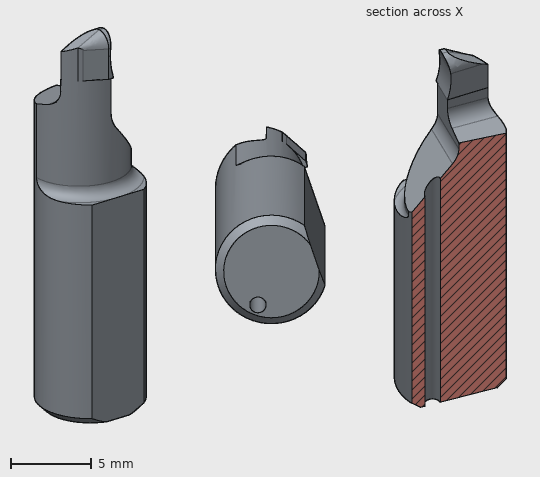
import cadquery as cq
import math

total_length = 26.0
shank_diameter = 7.0
shank_radius = shank_diameter / 2
flat_x = 6.35 - shank_radius
base_chamfer = 0.52

neck_x = -1.17
neck_radius = 3.28
shoulder_z = 15.03
shoulder_fillet = 0.78

face_y = 0.03
slope_top_y = 0.45
slope_top_z = 19.37
slope_angle = 49.0
face_blend_turn = math.radians(90 - slope_angle)

stem_left_x = 0.42
ledge_outer_z = 20.44
ledge_angle = 14.5
ledge_fall_angle = 2.5
ledge_fillet = 1.05
side_clearance_angle = 3.5

head_right_x = 2.37
head_bottom_z = 22.95
nose_radius = (head_right_x - stem_left_x) / 2
nose_x = stem_left_x + nose_radius
nose_z = total_length - nose_radius
land_depth = 0.36
heel_depth = 1.66
facet_start_y = -1.72
head_clearance_angle = 29.0
crest_relief_angle = 25.5

groove_depth_y = -0.2
groove_mid_z = 24.95

hole_x = -1.48
hole_y = 1.77
hole_diameter = 1.01

margin = 2.6


def neck_cylinder(bottom_z, top_z):
    return (
        cq.Workplane("XY", origin=(neck_x, 0, bottom_z))
        .circle(neck_radius)
        .extrude(top_z - bottom_z)
    )


def shoulder_ring():
    """Concave fillet between the neck and the shoulder."""
    outer_radius = neck_radius + shoulder_fillet
    top_z = shoulder_z + shoulder_fillet
    sag = shoulder_fillet * (1 - math.sqrt(0.5))
    return (
        cq.Workplane("XZ")
        .moveTo(0, shoulder_z)
        .lineTo(outer_radius, shoulder_z)
        .threePointArc((neck_radius + sag, shoulder_z + sag), (neck_radius, top_z))
        .lineTo(0, top_z)
        .close()
        .revolve(360, (0, 0, 0), (0, 1, 0))
        .translate((neck_x, 0, 0))
    )


def bar():
    """Shank and neck, all contained in the flatted round bar."""
    blank = cq.Workplane("XY").circle(shank_radius).extrude(total_length)
    blank = blank.faces("<Z").chamfer(base_chamfer)
    flat_cut = cq.Workplane("XY").box(
        margin, 2 * shank_diameter, 3 * total_length, centered=(False, True, True)
    ).translate((flat_x, 0, 0))
    blank = blank.cut(flat_cut)
    lower = cq.Workplane("XY").circle(2 * shank_radius).extrude(shoulder_z)
    envelope = lower.union(neck_cylinder(shoulder_z, head_bottom_z)).union(shoulder_ring())
    return blank.intersect(envelope)


def back_relief():
    """Upright cutting face blended into a slope that runs down towards +Y."""
    turn = face_blend_turn
    radius = (slope_top_y - face_y) / (1 - math.cos(turn))
    blend_top_z = slope_top_z + radius * math.sin(turn)
    mid_y = face_y + radius * (1 - math.cos(turn / 2))
    mid_z = blend_top_z - radius * math.sin(turn / 2)
    far_y = shank_radius + margin
    far_z = slope_top_z - (far_y - slope_top_y) * math.tan(math.radians(slope_angle))
    return (
        cq.Workplane("YZ")
        .moveTo(face_y, total_length + margin)
        .lineTo(face_y, blend_top_z)
        .threePointArc((mid_y, mid_z), (slope_top_y, slope_top_z))
        .lineTo(far_y, far_z)
        .lineTo(far_y, total_length + margin)
        .close()
        .extrude(shank_diameter, both=True)
    )


def ledge_cut():
    """Material removed on -X, leaving the stem and the sloping ledge."""
    rise = math.tan(math.radians(ledge_angle))
    outer_x = -shank_radius - margin
    corner_z = ledge_outer_z + (stem_left_x + shank_radius) * rise
    cutter = (
        cq.Workplane("XZ")
        .moveTo(outer_x, ledge_outer_z - margin * rise)
        .lineTo(stem_left_x, corner_z)
        .lineTo(stem_left_x, total_length + margin)
        .lineTo(outer_x, total_length + margin)
        .close()
        .extrude(2 * shank_diameter, both=True)
    )
    cutter = cutter.edges(cq.NearestToPointSelector((stem_left_x, 0, corner_z))).fillet(ledge_fillet)
    ledge_hinge = (-shank_radius, 0, ledge_outer_z)
    cutter = cutter.rotate(ledge_hinge, (stem_left_x, 0, ledge_outer_z), ledge_fall_angle)
    return cutter.rotate((stem_left_x, 0, 0), (stem_left_x, 0, 1), side_clearance_angle)


def head_half(plane, side_x, height):
    """Quarter-nose outline between the crest at nose_x and one side of the head."""
    diagonal = math.sqrt(0.5)
    middle = (nose_x + (side_x - nose_x) * diagonal, nose_z + height * diagonal)
    return (
        plane.moveTo(nose_x, head_bottom_z)
        .lineTo(side_x, head_bottom_z)
        .lineTo(side_x, nose_z)
        .threePointArc(middle, (nose_x, nose_z + height))
        .close()
    )


def tapered_half(start_y, depth, front_side_x, back_side_x, back_height):
    """Half head lofted from a full-radius front outline to a reduced back outline."""
    front = head_half(cq.Workplane("XZ", origin=(0, start_y, 0)), front_side_x, nose_radius)
    back = head_half(front.workplane(offset=depth), back_side_x, back_height)
    return back.loft(ruled=True)


def crest_relief():
    """Flat that falls away behind the land, towards -Y."""
    run = shank_radius
    return (
        cq.Workplane("YZ")
        .moveTo(-land_depth, total_length)
        .lineTo(-land_depth - run, total_length - run * math.tan(math.radians(crest_relief_angle)))
        .lineTo(-land_depth - run, total_length)
        .close()
        .extrude(shank_diameter, both=True)
    )


def cutting_head():
    """Full-radius nose: narrow land, leaning stem side and tapering cutting side."""
    left_depth = face_y + shank_radius
    left_back_x = stem_left_x + left_depth * math.tan(math.radians(side_clearance_angle))
    left_half = tapered_half(face_y, left_depth, stem_left_x, left_back_x, nose_radius)

    land = head_half(cq.Workplane("XZ", origin=(0, face_y, 0)), head_right_x, nose_radius)
    land = land.extrude(land_depth + face_y)
    heel_x = head_right_x - heel_depth * math.tan(math.radians(head_clearance_angle))
    heel_height = nose_radius - heel_depth * math.tan(math.radians(crest_relief_angle))
    right_half = tapered_half(-land_depth, heel_depth, head_right_x, heel_x, heel_height)

    front_block = cq.Workplane("XY").box(
        shank_diameter, shank_diameter, total_length, centered=(True, False, False)
    ).translate((0, facet_start_y, 0))
    limits = neck_cylinder(0, total_length).union(front_block)
    head = left_half.union(land).union(right_half)
    return head.intersect(limits).cut(crest_relief())


def chip_groove():
    """Shallow arc hollowed into the cutting face, running along X."""
    return (
        cq.Workplane("YZ")
        .moveTo(0, total_length)
        .threePointArc((groove_depth_y, groove_mid_z), (face_y, head_bottom_z))
        .lineTo(margin, head_bottom_z)
        .lineTo(margin, total_length)
        .close()
        .extrude(shank_diameter, both=True)
    )


coolant_hole = (
    cq.Workplane("XY").center(hole_x, hole_y).circle(hole_diameter / 2).extrude(total_length)
)

result = (
    bar()
    .union(cutting_head())
    .cut(back_relief())
    .cut(ledge_cut())
    .cut(chip_groove())
    .cut(coolant_hole)
)